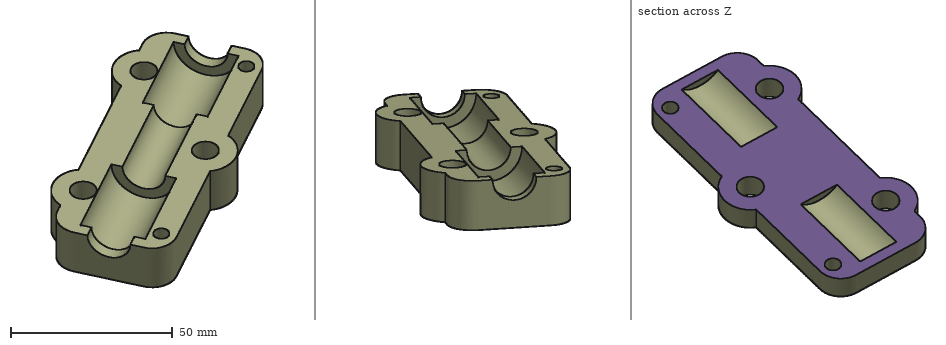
import cadquery as cq

body_width = 39.0
body_length = 100.0
body_height = 16.0
corner_radius = 8.0

ear_radius = 10.0
ear_offset = 15.0
ear_pitch = 30.0
bolt_hole_diameter = 8.4
ear_centers = [(-ear_offset, -ear_pitch), (ear_offset, 0), (-ear_offset, ear_pitch)]

pin_hole_diameter = 5.0
pin_x = 14.5
pin_y = 42.0

shaft_diameter = 14.0
seat_diameter = 21.2
seat_length = 30.5
end_wall = 4.0


def cylinder_along_y(diameter, y_start, length):
    """Cylinder whose axis lies in the top face, running towards +Y."""
    axis_start = cq.Vector(0, y_start, body_height)
    return cq.Workplane(cq.Solid.makeCylinder(diameter / 2, length, axis_start, cq.Vector(0, 1, 0)))


def make_body():
    """Rounded block joined with the round bolt ears."""
    block = cq.Workplane("XY").rect(body_width, body_length).extrude(body_height)
    block = block.edges("|Z").fillet(corner_radius)
    ears = cq.Workplane("XY").pushPoints(ear_centers).circle(ear_radius).extrude(body_height)
    return block.union(ears)


def cut_holes(part):
    """Through holes for the bolts and the dowel pins."""
    pin_centers = [(pin_x, -pin_y), (pin_x, pin_y)]
    bolts = cq.Workplane("XY").pushPoints(ear_centers).circle(bolt_hole_diameter / 2)
    pins = cq.Workplane("XY").pushPoints(pin_centers).circle(pin_hole_diameter / 2)
    return part.cut(bolts.extrude(body_height)).cut(pins.extrude(body_height))


def cut_channel(part):
    """Shaft channel over the full length and a wider bearing seat near each end."""
    half_length = body_length / 2
    part = part.cut(cylinder_along_y(shaft_diameter, -half_length, body_length))
    seat_starts = [-half_length + end_wall, half_length - end_wall - seat_length]
    for seat_start in seat_starts:
        part = part.cut(cylinder_along_y(seat_diameter, seat_start, seat_length))
    return part


result = cut_channel(cut_holes(make_body()))